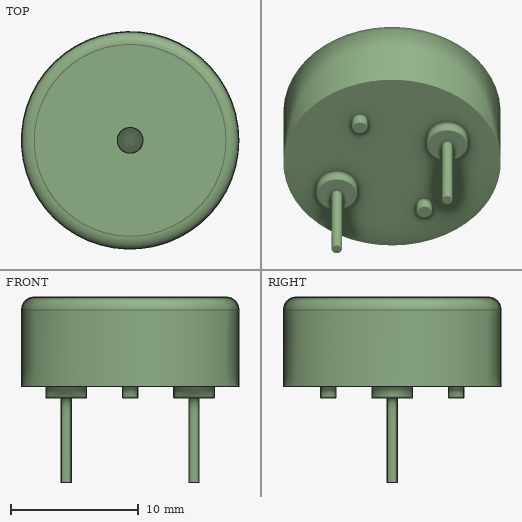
import cadquery as cq

body_diameter = 17.0
body_height = 7.0
rim_radius = 1.0
sound_hole_diameter = 2.0
sound_hole_depth = 2.0

foot_spacing = 10.0
foot_height = 0.9
foot_edge_radius = 0.1
pin_foot_diameter = 3.2
small_foot_diameter = 1.2
pin_diameter = 0.8
pin_length = 7.5


def make_housing():
    """Cylinder with a rounded top rim and a central blind sound hole."""
    housing = cq.Workplane("XY").circle(body_diameter / 2).extrude(body_height)
    housing = housing.faces(">Z").edges().fillet(rim_radius)
    return housing.faces(">Z").workplane().hole(sound_hole_diameter, sound_hole_depth)


def make_foot(x, y, diameter):
    """Short foot with a rounded lower edge, hanging from the underside."""
    foot = cq.Workplane("XY").center(x, y).circle(diameter / 2).extrude(-foot_height)
    return foot.faces("<Z").edges().fillet(foot_edge_radius)


def make_pin(x, y):
    """Straight round pin, hanging from the underside."""
    return cq.Workplane("XY").center(x, y).circle(pin_diameter / 2).extrude(-pin_length)


result = make_housing()
for side in (-1, 1):
    offset = side * foot_spacing / 2
    result = result.union(make_foot(offset, 0, pin_foot_diameter))
    result = result.union(make_pin(offset, 0))
    result = result.union(make_foot(0, offset, small_foot_diameter))